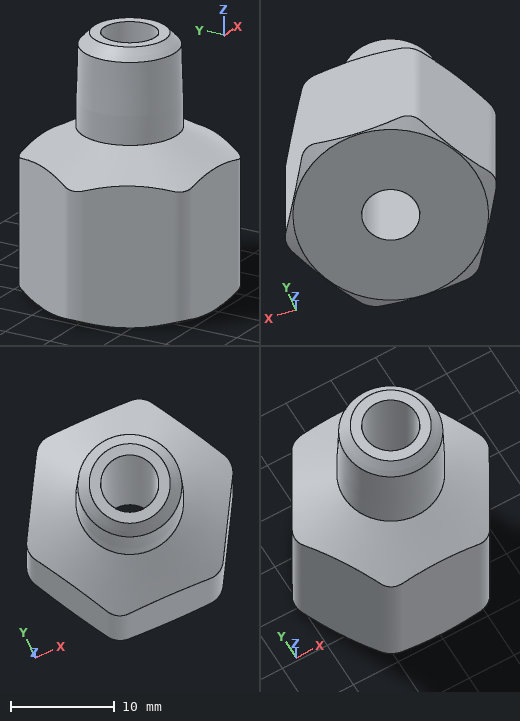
import cadquery as cq
import math

ACROSS_FLATS = 19.05
ROUNDED_ACROSS_CORNERS = 21.35
CONE_SLOPE = math.tan(math.radians(30))
BASE_RADIUS = 9.42

TOTAL_HEIGHT = 26.92
NECK_RADIUS = 10.39 / 2
NECK_BOTTOM = 17.24
NECK_TOP = 20.21
TAPER_SLOPE = 1 / 32

MOUTH_RADIUS = 7.8 / 2
MOUTH_STEP = 0.73
CHAMFER_HEIGHT = 1.17

BORE_DIAMETER = 5.59


def rounded_hexagon():
    """Hexagonal bar with two corners on the X axis and rounded vertical edges."""
    sharp_across_corners = ACROSS_FLATS / math.cos(math.pi / 6)
    corner_loss = (sharp_across_corners - ROUNDED_ACROSS_CORNERS) / 2
    corner_radius = corner_loss / (1 / math.cos(math.pi / 6) - 1)
    return (
        cq.Workplane("XY")
        .polygon(6, sharp_across_corners)
        .extrude(TOTAL_HEIGHT)
        .edges("|Z")
        .fillet(corner_radius)
    )


def turned_envelope():
    """Revolved shape of the coned body ends, neck, tapered spigot and chamfered mouth."""
    body_radius = ACROSS_FLATS / math.sqrt(3)
    lower_cone_top = (body_radius - BASE_RADIUS) * CONE_SLOPE
    upper_cone_bottom = NECK_BOTTOM - (body_radius - NECK_RADIUS) * CONE_SLOPE
    taper_top = TOTAL_HEIGHT - CHAMFER_HEIGHT
    taper_top_radius = NECK_RADIUS - (taper_top - NECK_TOP) * TAPER_SLOPE
    profile = [
        (0, 0),
        (BASE_RADIUS, 0),
        (body_radius, lower_cone_top),
        (body_radius, upper_cone_bottom),
        (NECK_RADIUS, NECK_BOTTOM),
        (NECK_RADIUS, NECK_TOP),
        (taper_top_radius, taper_top),
        (MOUTH_RADIUS + MOUTH_STEP, TOTAL_HEIGHT - MOUTH_STEP),
        (MOUTH_RADIUS, TOTAL_HEIGHT),
        (0, TOTAL_HEIGHT),
    ]
    return cq.Workplane("XZ").polyline(profile).close().revolve(360, (0, 0), (0, 1))


def through_bore():
    return cq.Workplane("XY").circle(BORE_DIAMETER / 2).extrude(TOTAL_HEIGHT)


result = rounded_hexagon().intersect(turned_envelope()).cut(through_bore())